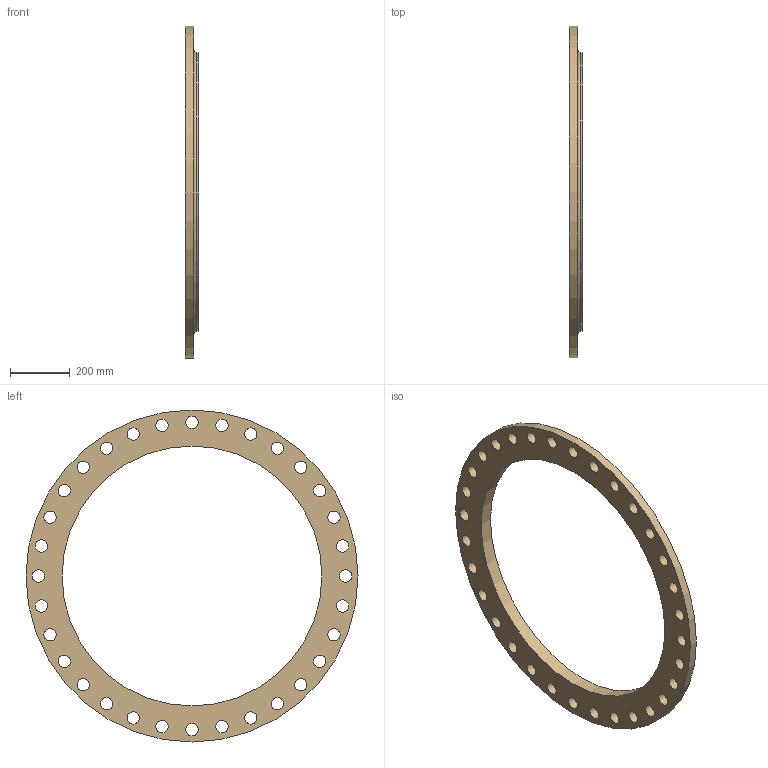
import cadquery as cq

outer_diameter = 1111.25
bore_diameter = 869.95
hub_diameter = 933.45
plate_thickness = 28.575
total_height = 44.45
hub_fillet_radius = 9.525
bolt_circle_diameter = 1028.7
bolt_hole_diameter = 41.275
bolt_count = 32

bolting_face_x = 0.0
plate_back_x = bolting_face_x + plate_thickness
hub_end_x = bolting_face_x + total_height


def make_body():
    """Revolve the half section: plate, concave root fillet and cylindrical hub."""
    outer_radius = outer_diameter / 2
    bore_radius = bore_diameter / 2
    hub_radius = hub_diameter / 2
    fillet_foot = (plate_back_x, hub_radius + hub_fillet_radius)
    fillet_top = (plate_back_x + hub_fillet_radius, hub_radius)
    section = (
        cq.Workplane("XY")
        .moveTo(bolting_face_x, bore_radius)
        .lineTo(bolting_face_x, outer_radius)
        .lineTo(plate_back_x, outer_radius)
        .lineTo(*fillet_foot)
        .radiusArc(fillet_top, -hub_fillet_radius)
        .lineTo(hub_end_x, hub_radius)
        .lineTo(hub_end_x, bore_radius)
        .close()
    )
    return section.revolve(360, (0, 0, 0), (1, 0, 0))


def make_bolt_holes():
    """Through holes evenly spaced on the bolt circle, the first one on the Y axis."""
    return (
        cq.Workplane("YZ", origin=(bolting_face_x, 0, 0))
        .polarArray(bolt_circle_diameter / 2, 0, 360, bolt_count)
        .circle(bolt_hole_diameter / 2)
        .extrude(plate_thickness)
    )


result = make_body().cut(make_bolt_holes())